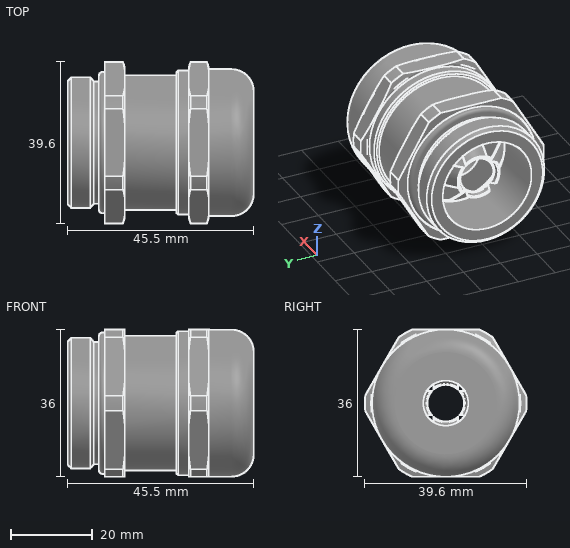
import cadquery as cq
import math

total_length = 45.5

thread_diameter = 32.0
thread_end = 6.4
thread_chamfer = 0.9
neck_diameter = 29.95

washer_diameter = 34.65
washer_start = 7.6
washer_round = 1.0

hex_across_flats = 36.0
hex_corner_diameter = 39.6
hex_length = 5.0
front_hex_start = 9.0
rear_hex_start = 29.55
hex_face_diameter = 36.6
hex_chamfer_length = 0.5

body_diameter = 33.0
collar_diameter = 35.25
collar_start = 26.5
collar_chamfer = 0.5

cap_diameter = hex_across_flats
cap_round = 5.5

bore_diameter = 24.1
bore_depth = 14.95
seat_diameter = 23.85
seat_length = 0.75
outlet_diameter = 11.0

finger_count = 4
finger_width = 6.0
finger_tip_position = 4.8
finger_tip_outer_diameter = 11.45
finger_tip_inner_diameter = 10.55
finger_throat_position = 5.8
finger_throat_outer_diameter = 9.65
finger_throat_inner_diameter = 8.9
finger_base_position = 15.15
finger_base_length = 0.45


def revolve_about_x(profile):
    """Close a profile drawn as (x, radius) and turn it about the X axis."""
    return profile.close().revolve(360, (0, 0, 0), (1, 0, 0))


def cylinder(diameter, start, end):
    """A solid cylinder on the X axis."""
    return cq.Workplane("YZ", origin=(start, 0, 0)).circle(diameter / 2).extrude(end - start)


def make_thread():
    """Threaded end with both rims bevelled, the rear bevel running down to the neck."""
    thread_radius = thread_diameter / 2
    neck_radius = neck_diameter / 2
    return revolve_about_x(
        cq.Workplane("XY")
        .lineTo(0, thread_radius - thread_chamfer)
        .lineTo(thread_chamfer, thread_radius)
        .lineTo(thread_end - thread_chamfer, thread_radius)
        .lineTo(thread_end, neck_radius)
        .lineTo(front_hex_start, neck_radius)
        .lineTo(front_hex_start, 0)
    )


def make_washer():
    """Washer with one rounded rim, its arc running over the crest to the hexagon."""
    round_center_position = washer_start + washer_round
    round_center_radius = washer_diameter / 2 - washer_round
    past_crest = front_hex_start - round_center_position
    end_radius = round_center_radius + math.sqrt(washer_round**2 - past_crest**2)
    return revolve_about_x(
        cq.Workplane("XY")
        .moveTo(washer_start, 0)
        .lineTo(washer_start, round_center_radius)
        .threePointArc((round_center_position, washer_diameter / 2), (front_hex_start, end_radius))
        .lineTo(front_hex_start, 0)
    )


def make_hexagon(start, chamfer_both_ends):
    """Hexagon with rounded corners, bevelled at its rear end or at both ends."""
    end = start + hex_length
    face_radius = hex_face_diameter / 2
    corner_radius = hex_corner_diameter / 2
    start_radius = face_radius if chamfer_both_ends else corner_radius
    envelope = revolve_about_x(
        cq.Workplane("XY")
        .moveTo(start, 0)
        .lineTo(start, start_radius)
        .lineTo(start + hex_chamfer_length, corner_radius)
        .lineTo(end - hex_chamfer_length, corner_radius)
        .lineTo(end, face_radius)
        .lineTo(end, 0)
    )
    across_corners = hex_across_flats / math.cos(math.pi / 6)
    prism = cq.Workplane("YZ", origin=(start, 0, 0)).polygon(6, across_corners).extrude(hex_length)
    return prism.intersect(envelope)


def make_body():
    """Plain round body with its bevelled collar."""
    body = cylinder(body_diameter, front_hex_start, rear_hex_start)
    collar = cylinder(collar_diameter, collar_start, rear_hex_start)
    return body.union(collar.faces("<X").chamfer(collar_chamfer))


def make_cap():
    """Cap behind the second hexagon, with a large round at its end."""
    cap = cylinder(cap_diameter, rear_hex_start + hex_length, total_length)
    return cap.faces(">X").edges().fillet(cap_round)


def make_bore():
    """Everything that is hollow: bore, seat and outlet."""
    bore = cylinder(bore_diameter, 0, bore_depth)
    seat = cylinder(seat_diameter, 0, bore_depth + seat_length)
    outlet = cylinder(outlet_diameter, 0, total_length)
    return bore.union(seat).union(outlet)


def make_fingers():
    """Fingers cut from a hooked conical shell by bars that cross on the axis."""
    bore_radius = bore_diameter / 2
    shell = revolve_about_x(
        cq.Workplane("XY")
        .moveTo(finger_tip_position, finger_tip_outer_diameter / 2)
        .lineTo(finger_throat_position, finger_throat_outer_diameter / 2)
        .lineTo(finger_base_position, bore_radius)
        .lineTo(finger_base_position + finger_base_length, bore_radius)
        .lineTo(finger_throat_position, finger_throat_inner_diameter / 2)
        .lineTo(finger_tip_position, finger_tip_inner_diameter / 2)
    )
    bar = cq.Workplane("XY").box(total_length, bore_diameter, finger_width)
    bar = bar.translate((total_length / 2, 0, 0))
    bars = bar
    for index in range(1, finger_count // 2):
        bars = bars.union(bar.rotate((0, 0, 0), (1, 0, 0), index * 360 / finger_count))
    return shell.intersect(bars)


result = (
    make_thread()
    .union(make_washer())
    .union(make_hexagon(front_hex_start, chamfer_both_ends=False))
    .union(make_body())
    .union(make_hexagon(rear_hex_start, chamfer_both_ends=True))
    .union(make_cap())
    .cut(make_bore())
    .union(make_fingers())
)